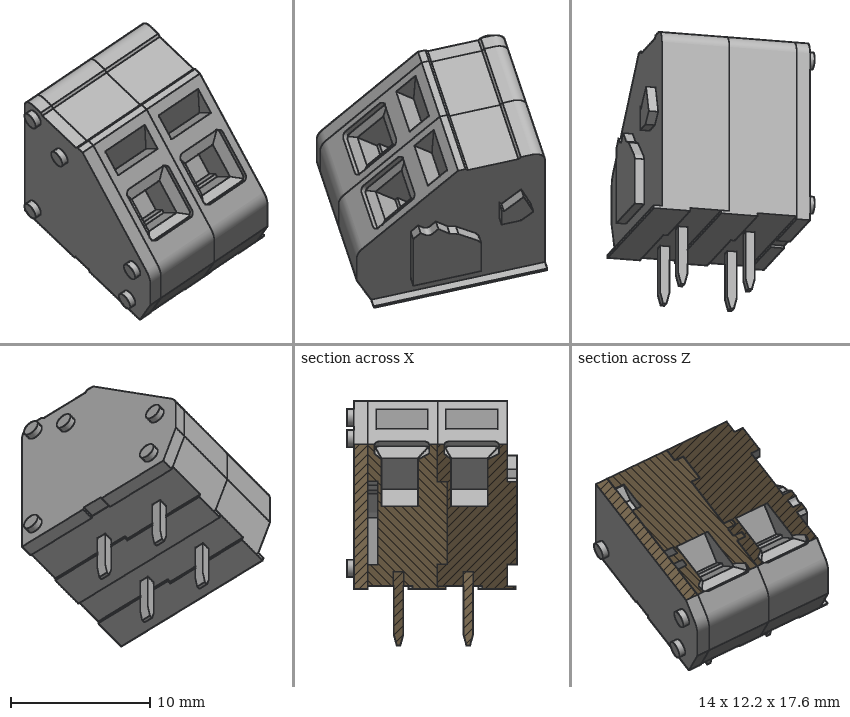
import cadquery as cq
import math


body_length = 14.0
body_height = 13.5
back_radius = 1.0
groove_start = 1.81
groove_end = 5.925
groove_depth = 0.18
slope_start = 6.47
slope_angle = 44.2
nose_radius = 1.4
nose_bottom = 2.92
base_length = 12.85

plate_thickness = 1.0
pitch = 5.0
pole_count = 2

peg_diameter = 1.25
peg_length = 0.5
peg_centers = [(1.2, 1.5), (11.73, 1.5), (12.28, 5.6), (4.18, 10.8), (1.2, 12.3)]

notch_start = 5.57
notch_end = 7.23
notch_height = 0.17
notch_side_run = 0.07

underside = 0.22
foot_start = 2.9
foot_overhang = 0.6
foot_step_x = 6.33
foot_step_depth = 0.3

boss_height = 0.7
boss_groove_radius = 0.35
latch_outline = [(1.06, 7.57), (1.78, 9.6), (3.25, 8.37), (3.43, 8.6), (3.43, 6.83), (1.98, 6.83)]
rail_bottom = 1.77
rail_left_x = 4.93
rail_left_outline = [
    (rail_left_x, rail_bottom),
    (rail_left_x, 5.14),
    (5.16, 5.51),
    (6.63, 6.83),
    (7.28, 7.1),
    (8.12, 7.97),
    (8.55, 7.55),
]
rail_crest = (9.44, 7.95)
rail_right_x = 9.99
rail_right_z = 7.4

pin_size = 0.7
pin_x_positions = [5.0, 10.0]
pin_y = 2.2
pin_bottom = -4.05
pin_taper_length = 0.8
pin_tip_width = 0.26
pin_socket_depth = 1.0

slot_along = 0.86
slot_length = 2.01
slot_y = 0.6
slot_width = 3.7
slot_depth = 1.87

entry_along = 4.15
entry_length = 4.3
entry_y = 0.48
entry_width = 3.92
entry_corner_radius = 0.4
rim_depth = 0.48
funnel_depth = 0.3
funnel_upper_inset = 0.95
funnel_lower_inset = 0.67
funnel_front_inset = 0.5
funnel_rear_inset = 0.82
bore_depth = 2.08
bore_step = 0.24
deep_bore_depth = 1.0

slope_cos = math.cos(math.radians(slope_angle))
slope_sin = math.sin(math.radians(slope_angle))


def extrude_along_y(sketch, y_start, thickness):
    """Extrude an XZ sketch drawn at Y = 0 from y_start towards +Y."""
    return sketch.extrude(-thickness).translate((0, y_start, 0))


def outline_block(y_start, thickness):
    """Slab with the side outline of the terminal block."""
    nose_corner_z = body_height - (body_length - slope_start) * slope_sin / slope_cos
    groove_z = body_height - groove_depth
    sketch = (
        cq.Workplane("XZ")
        .moveTo(0, 0)
        .lineTo(0, body_height)
        .lineTo(groove_start, body_height)
        .lineTo(groove_start + groove_depth, groove_z)
        .lineTo(groove_end - groove_depth, groove_z)
        .lineTo(groove_end, body_height)
        .lineTo(slope_start, body_height)
        .lineTo(body_length, nose_corner_z)
        .lineTo(body_length, nose_bottom)
        .lineTo(base_length, 0)
        .close()
    )
    block = extrude_along_y(sketch, y_start, thickness)
    middle_y = y_start + thickness / 2
    block = block.edges(cq.NearestToPointSelector((0, middle_y, body_height))).fillet(back_radius)
    return block.edges(cq.NearestToPointSelector((body_length, middle_y, nose_corner_z))).fillet(nose_radius)


def make_end_plate():
    """Front cover with its alignment pegs and the small notch in its lower edge."""
    plate = outline_block(0, plate_thickness)
    pegs = cq.Workplane("XZ").pushPoints(peg_centers).circle(peg_diameter / 2).extrude(peg_length)
    notch = cq.Workplane("XZ").polyline(
        [
            (notch_start, 0),
            (notch_start + notch_side_run, notch_height),
            (notch_end - notch_side_run, notch_height),
            (notch_end, 0),
        ]
    ).close()
    return plate.union(pegs).cut(extrude_along_y(notch, 0, plate_thickness))


def slope_plane(front_y, along, y, depth):
    """Plane parallel to the slope: local x runs down the slope, local y along +Y."""
    origin = (
        slope_start + along * slope_cos - depth * slope_sin,
        front_y + y,
        body_height - along * slope_sin - depth * slope_cos,
    )
    return cq.Workplane(cq.Plane(origin, (slope_cos, 0, -slope_sin), (slope_sin, 0, slope_cos)))


def release_slot(front_y):
    """Wedge slot: lower wall square to the slope, upper wall falling almost straight down."""
    upper_x = slope_start + slot_along * slope_cos
    upper_z = body_height - slot_along * slope_sin
    lower_x = upper_x + slot_length * slope_cos
    lower_z = upper_z - slot_length * slope_sin
    wedge = cq.Workplane("XZ").polyline(
        [
            (upper_x, upper_z),
            (lower_x, lower_z),
            (lower_x - slot_depth * slope_sin, lower_z - slot_depth * slope_cos),
        ]
    ).close()
    return extrude_along_y(wedge, front_y + slot_y, slot_width)


def wire_entry(front_y):
    """Rounded rim, tapering funnel and stepped bore, cut square to the slope."""
    rim = (
        slope_plane(front_y, entry_along, entry_y, 0)
        .rect(entry_length, entry_width, centered=False)
        .extrude(-rim_depth)
        .edges(cq.ParallelDirSelector(cq.Vector(slope_sin, 0, slope_cos)))
        .fillet(entry_corner_radius)
    )
    bore_along = entry_along + funnel_upper_inset
    bore_y = entry_y + funnel_front_inset
    bore_length = entry_length - funnel_upper_inset - funnel_lower_inset
    bore_width = entry_width - funnel_front_inset - funnel_rear_inset
    bore_top = rim_depth + funnel_depth
    funnel = (
        slope_plane(front_y, entry_along, entry_y, rim_depth)
        .rect(entry_length, entry_width, centered=False)
        .workplane(offset=-funnel_depth)
        .moveTo(funnel_upper_inset, funnel_front_inset)
        .rect(bore_length, bore_width, centered=False)
        .loft(ruled=True)
    )
    bore = (
        slope_plane(front_y, bore_along, bore_y, bore_top)
        .rect(bore_length, bore_width, centered=False)
        .extrude(-bore_depth)
    )
    deep_bore = (
        slope_plane(front_y, bore_along, bore_y, bore_top + bore_depth)
        .rect(bore_length - bore_step, bore_width, centered=False)
        .extrude(-deep_bore_depth)
    )
    return rim.union(funnel).union(bore).union(deep_bore)


def coupling_bosses(y_start):
    """Slanted latch and stepped rail with a round groove in its upper edge."""
    latch = cq.Workplane("XZ").polyline(latch_outline).close()
    groove_width = boss_groove_radius * math.sqrt(2)
    groove_drop = boss_groove_radius * (1 - math.sqrt(0.5))
    groove_left_x, groove_z = rail_left_outline[-1]
    groove_middle = (groove_left_x + groove_width / 2, groove_z - groove_drop)
    groove_right = (groove_left_x + groove_width, groove_z)
    rail = (
        cq.Workplane("XZ")
        .polyline(rail_left_outline)
        .threePointArc(groove_middle, groove_right)
        .lineTo(*rail_crest)
        .lineTo(rail_right_x, rail_right_z)
        .lineTo(rail_right_x, rail_bottom)
        .close()
    )
    return [extrude_along_y(profile, y_start, boss_height) for profile in (latch, rail)]


def make_pin(x, y):
    """Square pin with a tip tapered in Y."""
    pin_top = underside + pin_socket_depth
    half_size = pin_size / 2
    half_tip = pin_tip_width / 2
    taper_top = pin_bottom + pin_taper_length
    side = cq.Workplane("YZ").polyline(
        [
            (-half_size, pin_top),
            (half_size, pin_top),
            (half_size, taper_top),
            (half_tip, pin_bottom),
            (-half_tip, pin_bottom),
            (-half_size, taper_top),
        ]
    ).close()
    return side.extrude(half_size, both=True).translate((x, y, 0))


def make_housing(front_y, pins):
    """One pole: outline block with foot, bosses, recesses, slot, wire entry and pin sockets."""
    rear_y = front_y + pitch
    housing = outline_block(front_y, pitch)
    underside_gap = cq.Workplane().box(body_length, pitch, underside, centered=False)
    housing = housing.cut(underside_gap.translate((0, front_y, 0)))
    foot_width = pitch + foot_overhang - foot_start
    foot = cq.Workplane("XZ").polyline(
        [
            (0, 0),
            (0, underside),
            (base_length + underside * (body_length - base_length) / nose_bottom, underside),
            (base_length, 0),
        ]
    ).close()
    foot = extrude_along_y(foot, front_y + foot_start, foot_width)
    foot_step = cq.Workplane().box(body_length, foot_step_depth, underside, centered=False)
    foot = foot.cut(foot_step.translate((foot_step_x, front_y + foot_start, 0)))
    housing = housing.union(foot)
    for boss in coupling_bosses(rear_y):
        housing = housing.union(boss)
    for recess in coupling_bosses(front_y):
        housing = housing.cut(recess)
    housing = housing.cut(release_slot(front_y)).cut(wire_entry(front_y))
    for pin in pins:
        housing = housing.cut(pin)
    return housing


end_plate = make_end_plate()

housings = []
all_pins = []
for pole in range(pole_count):
    housing_front = plate_thickness + pole * pitch
    pins = [make_pin(x, housing_front + pin_y) for x in pin_x_positions]
    housings.append(make_housing(housing_front, pins))
    all_pins.extend(pins)

bodies = [end_plate, *housings, *all_pins]
result = cq.Compound.makeCompound([body.solids().val() for body in bodies])